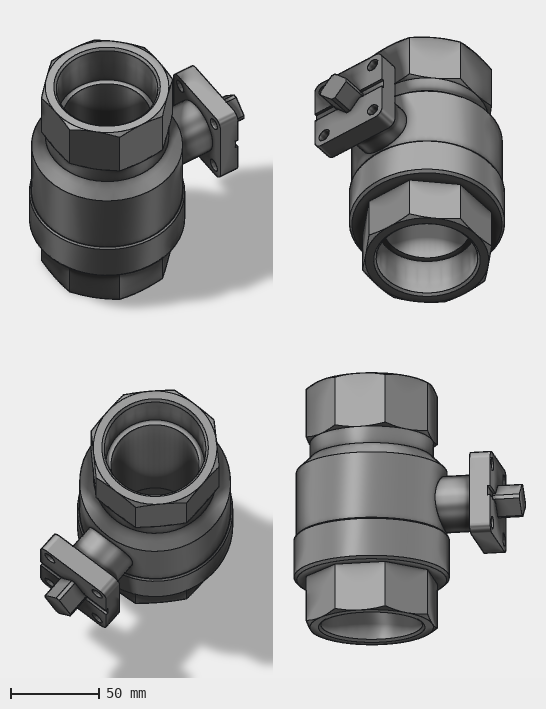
import cadquery as cq
import math

overall_length = 140.0
pipe_bore_diameter = 50.0

octagon_sides = 8
across_flats = 70.0
end_chamfer_angle = 30.0
upper_octagon_bottom = 38.5

collar_diameter = across_flats
collar_bottom = 28.7
barrel_diameter = 85.5
ring_diameter = 88.0
ring_top = -17.8
ring_bottom = -42.1
ring_top_chamfer = 1.0
ring_bottom_chamfer = 1.5

socket_mouth_diameter = 60.3
socket_mouth_chamfer = 1.4
socket_depth = 25.0
thread_taper = 1 / 16

neck_diameter = 32.0
flange_inner_y = 61.0
flange_outer_y = 73.0
flange_width = 48.0
flange_corner_radius = 4.8
bolt_slot_radius = 24.5
bolt_slot_width = 6.6
bolt_slot_travel = 1.0
index_slot_width = 5.3
index_slot_depth = 1.5
stem_end_y = 87.0
stem_across_corners = 18.3
stem_corner_flat = 2.4

half_length = overall_length / 2
barrel_top = collar_bottom - (barrel_diameter - collar_diameter) / 2
stem_across_flats = (stem_across_corners + stem_corner_flat) / math.sqrt(2)


def revolve_about_z(radius_height_points):
    """Solid of revolution about Z from (radius, z) points."""
    profile = cq.Workplane("XZ").polyline(radius_height_points).close()
    return profile.revolve(360, (0, 0, 0), (0, 1, 0))


def plane_facing_y(y):
    """Sketch plane at the given Y that extrudes toward +Y; its local axes are X and -Z."""
    return cq.Workplane(cq.Plane((0, y, 0), xDir=(1, 0, 0), normal=(0, 1, 0)))


def octagon_prism(z_bottom, z_top):
    """Octagonal prism with flats facing X and Y."""
    half_step = 180 / octagon_sides
    across_corners = across_flats / math.cos(math.radians(half_step))
    return (
        cq.Workplane("XY", origin=(0, 0, z_bottom))
        .transformed(rotate=(0, 0, half_step))
        .polygon(octagon_sides, across_corners)
        .extrude(z_top - z_bottom)
    )


def chamfer_cone(z_face, z_wide_end):
    """Solid cone that meets the face z_face on the circle touching the flats.

    The cone widens from the face toward z_wide_end and trims the octagon corners.
    """
    height = abs(z_wide_end - z_face)
    flat_radius = across_flats / 2
    wide_radius = flat_radius + height / math.tan(math.radians(end_chamfer_angle))
    return revolve_about_z([(0, z_face), (flat_radius, z_face), (wide_radius, z_wide_end), (0, z_wide_end)])


def upper_octagon():
    prism = octagon_prism(upper_octagon_bottom, half_length)
    prism = prism.intersect(chamfer_cone(half_length, upper_octagon_bottom))
    return prism.intersect(chamfer_cone(upper_octagon_bottom, half_length))


def lower_octagon():
    prism = octagon_prism(-half_length, ring_bottom)
    return prism.intersect(chamfer_cone(-half_length, ring_bottom))


def round_body():
    """Collar, 45 degree shoulder, barrel and chamfered ring."""
    collar_radius = collar_diameter / 2
    barrel_radius = barrel_diameter / 2
    ring_radius = ring_diameter / 2
    return revolve_about_z([
        (0, upper_octagon_bottom),
        (collar_radius, upper_octagon_bottom),
        (collar_radius, collar_bottom),
        (barrel_radius, barrel_top),
        (barrel_radius, ring_top),
        (ring_radius - ring_top_chamfer, ring_top),
        (ring_radius, ring_top - ring_top_chamfer),
        (ring_radius, ring_bottom + ring_bottom_chamfer),
        (ring_radius - ring_bottom_chamfer, ring_bottom),
        (0, ring_bottom),
    ])


def neck():
    return plane_facing_y(0).circle(neck_diameter / 2).extrude(flange_inner_y)


def flange():
    """Square flange with a slotted bolt hole in each corner and an index slot across its face."""
    thickness = flange_outer_y - flange_inner_y
    plate = plane_facing_y(flange_inner_y).rect(flange_width, flange_width).extrude(thickness)
    plate = plate.edges("|Y").fillet(flange_corner_radius)
    slot_length = bolt_slot_width + bolt_slot_travel
    for angle in (45, 135, 225, 315):
        bolt_slot = (
            plane_facing_y(flange_inner_y)
            .transformed(rotate=(0, 0, angle))
            .center(bolt_slot_radius, 0)
            .slot2D(slot_length, bolt_slot_width)
            .extrude(thickness)
        )
        plate = plate.cut(bolt_slot)
    index_slot = (
        plane_facing_y(flange_outer_y - index_slot_depth)
        .rect(flange_width, index_slot_width)
        .extrude(index_slot_depth)
    )
    return plate.cut(index_slot)


def drive_square():
    """Square stem end standing on its corner, with the corners cut flat."""
    base_y = flange_outer_y - index_slot_depth
    length = stem_end_y - base_y
    square = (
        plane_facing_y(base_y)
        .transformed(rotate=(0, 0, 45))
        .rect(stem_across_flats, stem_across_flats)
        .extrude(length)
    )
    corner_limit = plane_facing_y(base_y).rect(stem_across_corners, stem_across_corners).extrude(length)
    return square.intersect(corner_limit)


def upper_socket():
    """Tapered thread socket with a 45 degree mouth chamfer."""
    mouth_radius = socket_mouth_diameter / 2
    thread_radius = mouth_radius - socket_mouth_chamfer
    thread_top = half_length - socket_mouth_chamfer
    socket_floor = half_length - socket_depth
    floor_radius = thread_radius - (thread_top - socket_floor) * thread_taper / 2
    return revolve_about_z([
        (0, half_length),
        (mouth_radius, half_length),
        (thread_radius, thread_top),
        (floor_radius, socket_floor),
        (0, socket_floor),
    ])


def pipe_bore():
    return cq.Workplane("XY", origin=(0, 0, -half_length)).circle(pipe_bore_diameter / 2).extrude(overall_length)


body = round_body()
for added_part in (upper_octagon(), lower_octagon(), neck(), flange(), drive_square()):
    body = body.union(added_part)

body = body.cut(pipe_bore())
body = body.cut(upper_socket())
result = body.cut(upper_socket().mirror("XY"))